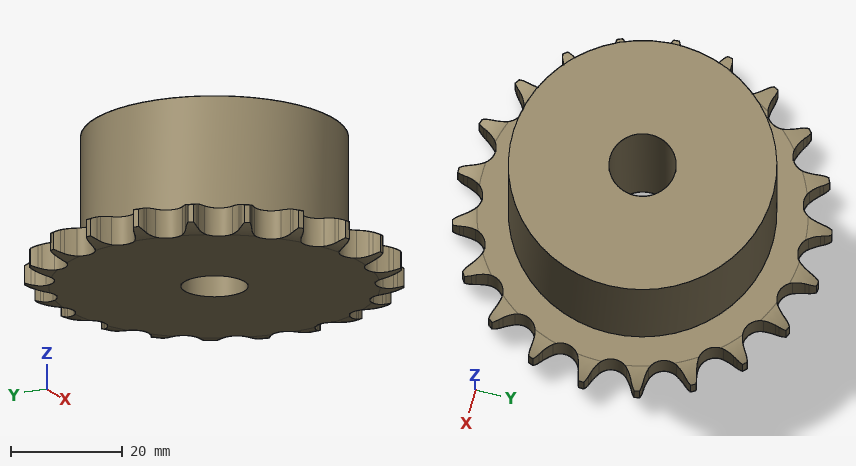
import cadquery as cq
import math

tooth_count = 21
pitch_diameter = 63.9
pitch_radius = pitch_diameter / 2
roller_diameter = 6.4
full_turn = 360

tip_radius = 34.0
plate_thickness = 5.3
hub_diameter = 48.0
total_height = 28.0
bore_diameter = 12.0

relief_depth = 1.0
relief_radius = 10.0
relief_length = math.sqrt(2 * relief_radius * relief_depth - relief_depth**2)
shoulder_radius = tip_radius - relief_length

seat_radius = roller_diameter / 2
working_radius = 8.3
topping_radius = 5.0
seat_end_angle = 52
working_sweep = 15.3
working_end_angle = seat_end_angle + working_sweep
topping_sweep = 25
flank_length = 0.75
cutter_overrun = 3.4


def offset(point, distance, angle):
    """Move a point along a direction measured from -Y toward +X."""
    turn = math.radians(angle)
    return (point[0] + distance * math.sin(turn), point[1] - distance * math.cos(turn))


def mirrored(point):
    return (-point[0], point[1])


def tooth_gap():
    """Cutter for one gap, symmetric about the +Y axis, tangent from arc to arc."""
    seat_center = (0, pitch_radius)
    root = offset(seat_center, seat_radius, 0)
    seat_end = offset(seat_center, seat_radius, seat_end_angle)

    working_center = offset(seat_end, -working_radius, seat_end_angle)
    working_mid = offset(working_center, working_radius, seat_end_angle + working_sweep / 2)
    working_end = offset(working_center, working_radius, working_end_angle)

    flank_end = offset(working_end, flank_length, working_end_angle + 90)

    topping_center = offset(flank_end, topping_radius, working_end_angle)
    topping_mid = offset(topping_center, -topping_radius, working_end_angle - topping_sweep / 2)
    topping_end = offset(topping_center, -topping_radius, working_end_angle - topping_sweep)

    outer_corner = (topping_end[0], topping_end[1] + cutter_overrun)
    return (
        cq.Workplane("XY")
        .moveTo(*mirrored(seat_end))
        .threePointArc(root, seat_end)
        .threePointArc(working_mid, working_end)
        .lineTo(*flank_end)
        .threePointArc(topping_mid, topping_end)
        .lineTo(*outer_corner)
        .lineTo(*mirrored(outer_corner))
        .lineTo(*mirrored(topping_end))
        .threePointArc(mirrored(topping_mid), mirrored(flank_end))
        .lineTo(*mirrored(working_end))
        .threePointArc(mirrored(working_mid), mirrored(seat_end))
        .close()
        .extrude(plate_thickness)
    )


def toothed_plate():
    """Disc with a relieved rim, cut by the tooth gaps, one tooth pointing to -Y."""
    half_arc = math.asin(relief_length / relief_radius) / 2
    arc_mid_radius = shoulder_radius + relief_radius * math.sin(half_arc)
    arc_mid_depth = relief_radius * (1 - math.cos(half_arc))
    plate = (
        cq.Workplane("XZ")
        .lineTo(shoulder_radius, 0)
        .threePointArc((arc_mid_radius, arc_mid_depth), (tip_radius, relief_depth))
        .lineTo(tip_radius, plate_thickness - relief_depth)
        .threePointArc(
            (arc_mid_radius, plate_thickness - arc_mid_depth),
            (shoulder_radius, plate_thickness),
        )
        .lineTo(0, plate_thickness)
        .close()
        .revolve(full_turn, (0, 0, 0), (0, 1, 0))
    )
    gap = tooth_gap()
    for index in range(tooth_count):
        plate = plate.cut(gap.rotate((0, 0, 0), (0, 0, 1), index * full_turn / tooth_count))
    return plate


hub = cq.Workplane("XY").circle(hub_diameter / 2).extrude(total_height)
bore = cq.Workplane("XY").circle(bore_diameter / 2).extrude(total_height)

result = toothed_plate().union(hub).cut(bore)